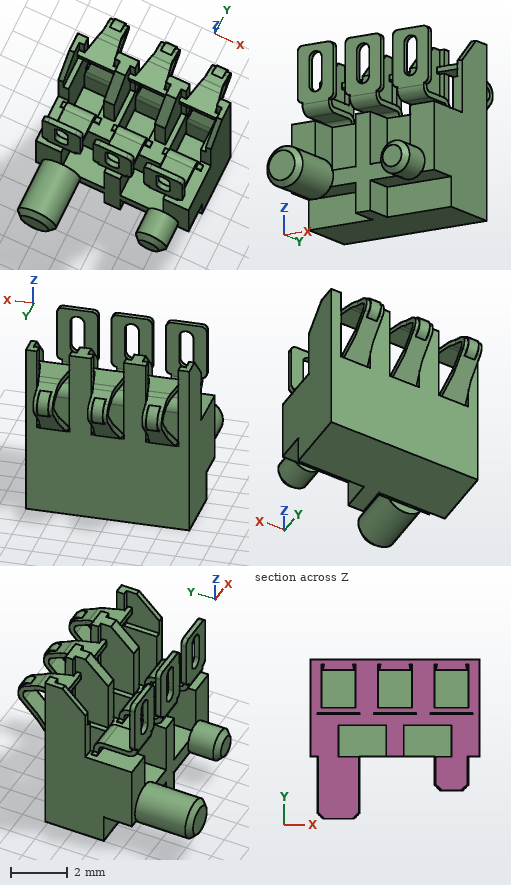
import cadquery as cq
import math


overall_depth = 7.1

body_width = 6.0
body_depth = 3.45
body_height = 6.46
shelf_z = 3.63
wall_front_y = 1.845
wall_chamfer = 0.91

rib_half = 0.31
recess_depth = 1.115
upper_recess_floor_z = 1.705
lower_recess_top_z = 1.11

peg_z = 1.5
peg_chamfer = 0.205
large_peg_radius = 0.75
large_peg_length = 2.2
small_peg_radius = 0.6
small_peg_length = 1.2

contact_pitch = 2.0
contact_xs = (-contact_pitch, 0, contact_pitch)
sheet = 0.2
half_sheet = sheet / 2

channel_half = 0.795
chamber_half = 0.595
flange_depth = 0.3
chamber_front_y = 1.74
chamber_back_y = 3.265
chamber_floor_z = upper_recess_floor_z
window_sill_z = 3.37
end_ledge_z = 4.98
slot_clearance = 0.03
shoulder_drop = 0.02

tail_half = 0.555
tail_top_z = 4.12
tail_bend_radius = 0.19
plate_half = 0.75
plate_bottom_z = 4.36
plate_corner_radius = 0.21
plate_hole_half = 0.26
plate_hole_bottom_z = 4.71
plate_hole_top_z = 6.185

spring_tip = (2.9, 5.67)
spring_knee = (3.925, 5.57)
spring_apex = (4.98, 5.085)
spring_root = (chamber_back_y - half_sheet, 3.21)
knee_radius = 0.57
apex_radius = 0.23
root_radius = 0.14
spring_neck_half = 0.355
upper_taper_y = 4.18
lower_taper_y = 4.07
taper_root_y = 3.1
upper_root_half = 0.57
tip_half = 0.79
tip_chamfer = 0.06

bead_half = 0.205
spring_reach = overall_depth - large_peg_length


def block(x_min, x_max, y_min, y_max, z_min, z_max):
    """Box given by its limits along each axis."""
    box = cq.Workplane("XY").box(x_max - x_min, y_max - y_min, z_max - z_min, centered=False)
    return box.translate((x_min, y_min, z_min))


def unit(start, end):
    """Unit vector from one point to another."""
    length = math.dist(start, end)
    return ((end[0] - start[0]) / length, (end[1] - start[1]) / length)


def bend_center(before, corner, after, radius):
    """Center of a bend of the given mid-sheet radius at the corner."""
    to_before = unit(corner, before)
    to_after = unit(corner, after)
    bisector = unit((0, 0), (to_before[0] + to_after[0], to_before[1] + to_after[1]))
    dot = to_before[0] * to_after[0] + to_before[1] * to_after[1]
    distance = radius / math.sqrt((1 - dot) / 2)
    return (corner[0] + distance * bisector[0], corner[1] + distance * bisector[1])


def bent_strip(points, inner_radii, half_width):
    """Sheet-metal strip centred on x = 0, following (y, z) points with round bends."""
    path = cq.Workplane("YZ").moveTo(*points[0])
    for before, corner, after, inner_radius in zip(points, points[1:], points[2:], inner_radii):
        radius = inner_radius + half_sheet
        center = bend_center(before, corner, after, radius)
        incoming = unit(before, corner)
        outgoing = unit(corner, after)
        reach = math.sqrt(math.dist(center, corner) ** 2 - radius ** 2)
        bend_start = (corner[0] - reach * incoming[0], corner[1] - reach * incoming[1])
        bend_end = (corner[0] + reach * outgoing[0], corner[1] + reach * outgoing[1])
        toward_corner = unit(center, corner)
        bend_middle = (center[0] + radius * toward_corner[0], center[1] + radius * toward_corner[1])
        path = path.lineTo(*bend_start).threePointArc(bend_middle, bend_end)
    path = path.lineTo(*points[-1])
    first = unit(points[0], points[1])
    section = cq.Plane(
        origin=(0, points[0][0], points[0][1]), xDir=(1, 0, 0), normal=(0, first[0], first[1])
    )
    return cq.Workplane(section).rect(2 * half_width, sheet).sweep(path)


def make_housing():
    """Stepped body with the front recesses."""
    housing = (
        cq.Workplane("YZ")
        .polyline([
            (0, 0),
            (body_depth, 0),
            (body_depth, body_height),
            (wall_front_y + wall_chamfer, body_height),
            (wall_front_y, body_height - wall_chamfer),
            (wall_front_y, shelf_z),
            (0, shelf_z),
        ])
        .close()
        .extrude(body_width / 2, both=True)
    )
    for side in (-1, 1):
        rib_x = side * rib_half
        pocket_x = side * contact_pitch
        edge_x = side * body_width / 2
        housing = housing.cut(block(
            min(rib_x, pocket_x), max(rib_x, pocket_x), 0, recess_depth, upper_recess_floor_z, shelf_z
        ))
        housing = housing.cut(block(
            min(rib_x, edge_x), max(rib_x, edge_x), 0, recess_depth, 0, lower_recess_top_z
        ))
    return housing


def make_chamber(x):
    """Space removed from the housing for one contact."""
    left = chamber_half if x < 0 else channel_half
    right = chamber_half if x > 0 else channel_half
    channel_back_y = body_depth - flange_depth
    low_channel = block(x - left, x + right, wall_front_y, channel_back_y, shelf_z, end_ledge_z)
    high_channel = block(
        x - channel_half, x + channel_half, wall_front_y, channel_back_y, end_ledge_z, body_height
    )
    well = block(
        x - chamber_half, x + chamber_half, chamber_front_y, chamber_back_y, chamber_floor_z, body_height
    )
    window = block(
        x - chamber_half, x + chamber_half, wall_front_y, body_depth, window_sill_z, body_height
    )
    slot = block(
        x - plate_half,
        x + plate_half,
        chamber_front_y - sheet - slot_clearance,
        chamber_front_y,
        chamber_floor_z,
        shelf_z,
    )
    return low_channel.union(high_channel).union(well).union(window).union(slot)


def make_peg(x, radius, length):
    """Round peg with a chamfered end, standing out of the front face."""
    peg = cq.Workplane("XZ", origin=(x, 0, peg_z)).circle(radius).extrude(length)
    return peg.faces("<Y").chamfer(peg_chamfer)


def make_tail():
    """Leg, shoulder and slotted solder plate of a contact."""
    leg_y = chamber_front_y - half_sheet
    arm_z = tail_top_z - half_sheet
    path = [
        (leg_y, chamber_floor_z),
        (leg_y, arm_z),
        (half_sheet, arm_z),
        (half_sheet, plate_bottom_z + plate_corner_radius),
    ]
    strip = bent_strip(path, (tail_bend_radius, tail_bend_radius), tail_half)
    shoulder = block(
        -plate_half,
        plate_half,
        chamber_front_y - sheet,
        chamber_front_y,
        chamber_floor_z,
        shelf_z - shoulder_drop,
    )
    plate = block(-plate_half, plate_half, 0, sheet, plate_bottom_z, body_height)
    plate = plate.edges("|Y").fillet(plate_corner_radius)
    hole_z = (plate_hole_bottom_z + plate_hole_top_z) / 2
    hole = (
        cq.Workplane("XZ", origin=(0, 0, hole_z))
        .slot2D(plate_hole_top_z - plate_hole_bottom_z, 2 * plate_hole_half, 90)
        .extrude(-sheet)
    )
    return strip.union(shoulder).union(plate).cut(hole)


def spring_outline(taper_y, root_half):
    """Half outline of a spring arm: narrow at the bend, wider toward its root."""
    return [(spring_neck_half, spring_reach), (spring_neck_half, taper_y), (root_half, taper_root_y)]


def arm_envelope(half_outline, z_min, z_max):
    """Upright prism whose plan is the half outline mirrored about x = 0."""
    mirrored = [(-x, y) for x, y in reversed(half_outline)]
    plan = cq.Workplane("XY", origin=(0, 0, z_min)).polyline(half_outline + mirrored).close()
    return plan.extrude(z_max - z_min)


def make_spring():
    """Folded spring with its crossbar tip and the raised bead on the bend."""
    path = [spring_tip, spring_knee, spring_apex, spring_root, (spring_root[0], chamber_floor_z)]
    strip = bent_strip(path, (knee_radius, apex_radius, root_radius), tip_half)
    center_y, center_z = bend_center(
        spring_knee, spring_apex, spring_root, apex_radius + half_sheet
    )

    tip_y = spring_tip[0]
    upper_outline = spring_outline(upper_taper_y, upper_root_half) + [
        (tip_half, taper_root_y),
        (tip_half, tip_y + tip_chamfer),
        (tip_half - 2 * tip_chamfer, tip_y - tip_chamfer),
    ]
    lower_outline = spring_outline(lower_taper_y, tail_half) + [(tail_half, tip_y)]
    upper_arm = strip.intersect(arm_envelope(upper_outline, center_z, body_height))
    lower_arm = strip.intersect(arm_envelope(lower_outline, chamber_floor_z, center_z))

    bead = (
        cq.Workplane("YZ", origin=(0, center_y, center_z))
        .circle(spring_reach - center_y)
        .circle(apex_radius + sheet)
        .extrude(bead_half, both=True)
        .intersect(block(-bead_half, bead_half, center_y, spring_reach, 0, body_height))
    )
    return upper_arm.union(lower_arm).union(bead)


contact = make_tail().union(make_spring())

result = make_housing()
result = result.union(make_peg(-contact_pitch, large_peg_radius, large_peg_length))
result = result.union(make_peg(contact_pitch, small_peg_radius, small_peg_length))
for contact_x in contact_xs:
    result = result.cut(make_chamber(contact_x)).union(contact.translate((contact_x, 0, 0)))